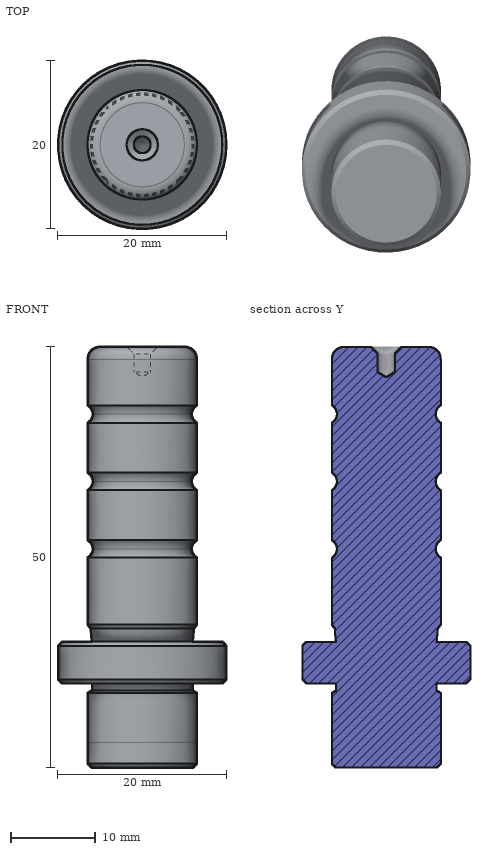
import cadquery as cq
import math

total_length = 50.0
flange_bottom = 10.0
flange_thickness = 5.0
flange_top = flange_bottom + flange_thickness

flange_radius = 10.0
flange_chamfer = 0.5

pin_radius = 6.5
tip_round = 1.5
end_chamfer = 0.5
lead_length = 3.0

lower_neck_radius = 6.0
lower_neck_height = 0.8
lower_step_height = 0.3

upper_neck_base_radius = 6.02
upper_neck_top_radius = 6.15
upper_neck_height = 1.55
upper_step_height = 0.45

groove_depth = 0.6
groove_arc_radius = 1.2
groove_half_width = math.sqrt(groove_arc_radius**2 - (groove_arc_radius - groove_depth) ** 2)
groove_pitch = 8.0
groove_count = 3
lowest_groove_height = 26.0

hole_radius = 1.0
hole_mouth_radius = 1.85
mouth_cone_depth = hole_mouth_radius - hole_radius
hole_depth = 3.0
drill_point_half_angle = math.radians(59)


def add_groove(outline, height):
    """Run the outline up the pin to a groove and follow its arc, split at the deepest point."""
    floor_radius = pin_radius - groove_depth
    mid_angle = math.asin(groove_half_width / groove_arc_radius) / 2
    mid_radius = floor_radius + groove_arc_radius * (1 - math.cos(mid_angle))
    mid_offset = groove_arc_radius * math.sin(mid_angle)
    return (
        outline.lineTo(pin_radius, height - groove_half_width)
        .threePointArc((mid_radius, height - mid_offset), (floor_radius, height))
        .threePointArc((mid_radius, height + mid_offset), (pin_radius, height + groove_half_width))
    )


def make_body():
    """Revolve the outer outline of the pin about Z, keeping the lead and groove-floor edges."""
    lower_neck_bottom = flange_bottom - lower_neck_height
    upper_neck_top = flange_top + upper_neck_height
    flange_face_radius = flange_radius - flange_chamfer

    outline = (
        cq.Workplane("XZ")
        .lineTo(pin_radius - end_chamfer, 0)
        .lineTo(pin_radius, end_chamfer)
        .lineTo(pin_radius, lead_length)
        .lineTo(pin_radius, lower_neck_bottom - lower_step_height)
        .lineTo(lower_neck_radius, lower_neck_bottom)
        .lineTo(lower_neck_radius, flange_bottom)
        .lineTo(flange_face_radius, flange_bottom)
        .lineTo(flange_radius, flange_bottom + flange_chamfer)
        .lineTo(flange_radius, flange_top - flange_chamfer)
        .lineTo(flange_face_radius, flange_top)
        .lineTo(upper_neck_base_radius, flange_top)
        .lineTo(upper_neck_top_radius, upper_neck_top)
        .lineTo(pin_radius, upper_neck_top + upper_step_height)
    )
    for index in range(groove_count):
        outline = add_groove(outline, lowest_groove_height + index * groove_pitch)

    round_inset = tip_round * (1 - math.sqrt(0.5))
    outline = (
        outline.lineTo(pin_radius, total_length - tip_round)
        .threePointArc(
            (pin_radius - round_inset, total_length - round_inset),
            (pin_radius - tip_round, total_length),
        )
        .lineTo(0, total_length)
        .close()
    )
    return outline.revolve(360, (0, 0, 0), (0, 1, 0), clean=False)


def make_centre_hole():
    """Drilled hole with a conical mouth and a drill-point bottom."""
    drill_point_depth = hole_radius / math.tan(drill_point_half_angle)
    return (
        cq.Workplane("XZ")
        .moveTo(0, total_length)
        .lineTo(hole_mouth_radius, total_length)
        .lineTo(hole_radius, total_length - mouth_cone_depth)
        .lineTo(hole_radius, total_length - hole_depth)
        .lineTo(0, total_length - hole_depth - drill_point_depth)
        .close()
        .revolve(360, (0, 0, 0), (0, 1, 0))
    )


result = make_body().cut(make_centre_hole(), clean=False)